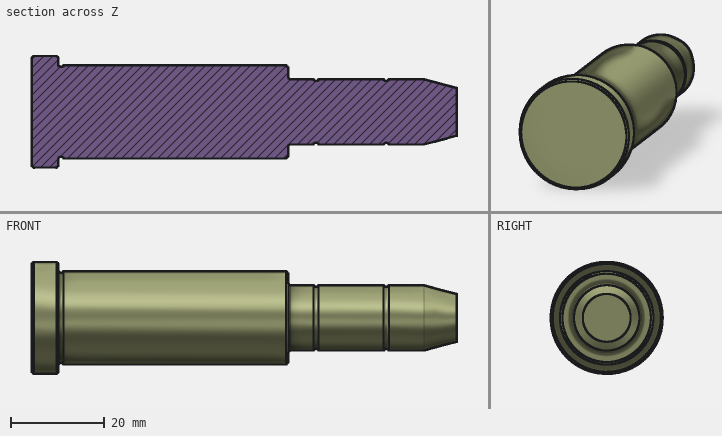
import cadquery as cq
import math

total_length = 91.0
head_length = 5.7
neck_end = 6.8
shank_end = 55.0
taper_length = 7.0
taper_angle = 15.0

head_diameter = 24.0
shank_diameter = 20.0
nose_diameter = 14.0

head_chamfer = 0.5
shank_chamfer = 0.55
nose_root_fillet = 0.5
neck_depth = 0.4
groove_starts = (60.3, 75.35)
groove_width = 1.1
groove_depth = 0.4

head_radius = head_diameter / 2
shank_radius = shank_diameter / 2
nose_radius = nose_diameter / 2
taper_start = total_length - taper_length
tip_radius = nose_radius - taper_length * math.tan(math.radians(taper_angle))


def cylinder(start, end, radius):
    """Solid cylinder on the X axis between two axial positions."""
    return cq.Workplane("YZ", origin=(start, 0, 0)).circle(radius).extrude(end - start)


def round_groove(start, end, radius, depth):
    """Ring with an arc-shaped section, to be cut into a cylinder of the given radius."""
    return (
        cq.Workplane("XY")
        .moveTo(start, radius)
        .threePointArc(((start + end) / 2, radius - depth), (end, radius))
        .lineTo(end, radius + depth)
        .lineTo(start, radius + depth)
        .close()
        .revolve(360, (0, 0, 0), (1, 0, 0))
    )


head = cylinder(0, head_length, head_radius).edges().chamfer(head_chamfer)

shank = cylinder(head_length, shank_end, shank_radius).faces(">X").edges().chamfer(shank_chamfer)
shank = shank.cut(round_groove(head_length, neck_end, shank_radius, neck_depth))

nose = (
    cq.Workplane("XY")
    .moveTo(shank_end, 0)
    .lineTo(shank_end, nose_radius + nose_root_fillet)
    .radiusArc((shank_end + nose_root_fillet, nose_radius), -nose_root_fillet)
    .lineTo(taper_start, nose_radius)
    .lineTo(total_length, tip_radius)
    .lineTo(total_length, 0)
    .close()
    .revolve(360, (0, 0, 0), (1, 0, 0))
)
for groove_start in groove_starts:
    nose = nose.cut(round_groove(groove_start, groove_start + groove_width, nose_radius, groove_depth))

pin = head.union(shank).union(nose)

result = pin.translate((-total_length / 2, 0, 0))